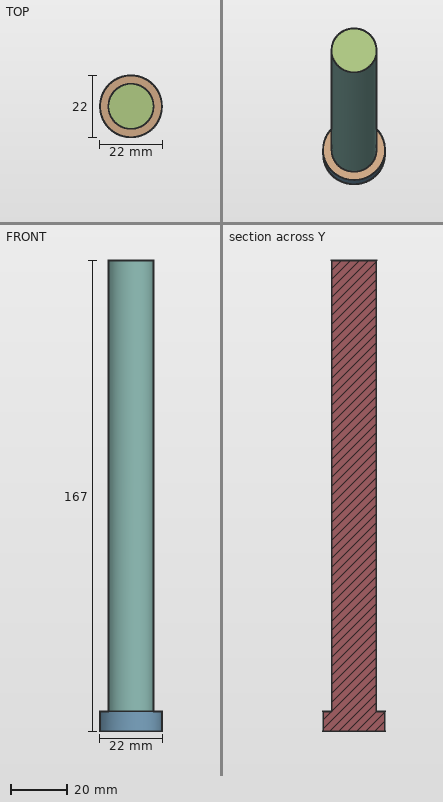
import cadquery as cq

total_length = 167.0
head_diameter = 22.0
head_height = 7.0
shaft_diameter = 16.0
shaft_length = total_length - head_height

head = cq.Workplane("XY").circle(head_diameter / 2).extrude(head_height)

result = head.faces(">Z").workplane().circle(shaft_diameter / 2).extrude(shaft_length)